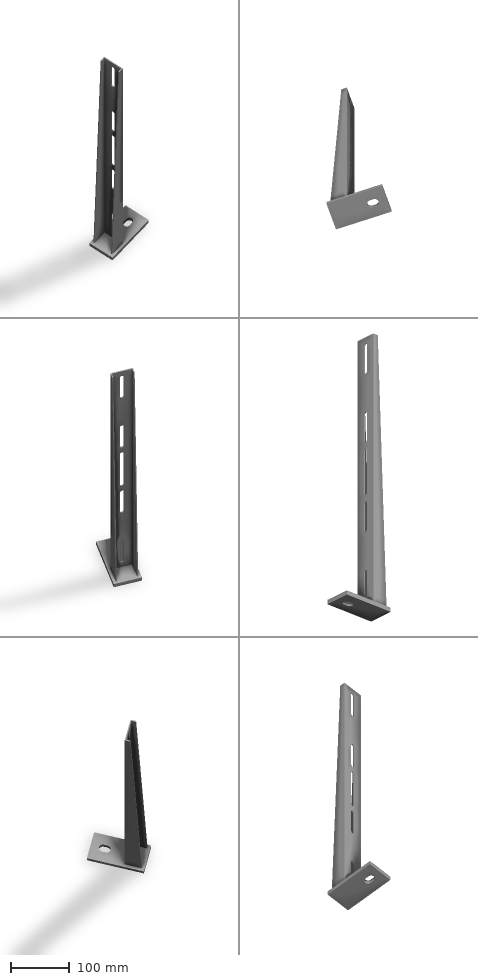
import cadquery as cq

plate_width = 50.0
plate_length = 100.0
plate_thickness = 8.0

fixing_hole_width = 13.0
fixing_hole_length = 20.0
fixing_hole_to_rear_edge = 25.0

total_height = 518.0
upright_height = total_height - plate_thickness
upright_width = 40.0
upright_wall = 2.0
flange_depth_bottom = 30.0
flange_depth_top = 10.0
upright_to_plate_front = 5.0

slot_width = 7.0
short_slot_length = 57.0
middle_slot_length = 87.0
inner_slot_offset = 85.0
outer_slot_offset = 214.5

web_rear_y = -plate_length / 2 + upright_to_plate_front + flange_depth_bottom
web_front_y = web_rear_y - upright_wall
fixing_hole_y = plate_length / 2 - fixing_hole_to_rear_edge
upright_middle_z = plate_thickness + upright_height / 2


def make_base_plate():
    """Flat plate with one elongated hole running through it."""
    plate = cq.Workplane("XY").box(
        plate_width, plate_length, plate_thickness, centered=(True, True, False)
    )
    hole = (
        cq.Workplane("XY")
        .center(0, fixing_hole_y)
        .slot2D(fixing_hole_length, fixing_hole_width, 90)
        .extrude(plate_thickness)
    )
    return plate.cut(hole)


def make_tapered_block():
    """Solid envelope of the upright: vertical at the rear, sloping at the front."""
    return (
        cq.Workplane("YZ")
        .moveTo(web_rear_y, plate_thickness)
        .lineTo(web_rear_y - flange_depth_bottom, plate_thickness)
        .lineTo(web_rear_y - flange_depth_top, total_height)
        .lineTo(web_rear_y, total_height)
        .close()
        .extrude(upright_width / 2, both=True)
    )


def make_channel_space():
    """Space between the flanges, in front of the web."""
    return (
        cq.Workplane("XY", origin=(0, web_front_y, plate_thickness))
        .box(
            upright_width - 2 * upright_wall,
            2 * flange_depth_bottom,
            upright_height,
            centered=(True, True, False),
        )
        .translate((0, -flange_depth_bottom, 0))
    )


def make_web_slot(length, offset):
    """Cutter for a vertical slot, offset along Z from the middle of the upright."""
    return (
        cq.Workplane("XZ", origin=(0, web_rear_y, upright_middle_z + offset))
        .slot2D(length, slot_width, 90)
        .extrude(upright_wall)
    )


def make_upright():
    """Tapered U-channel with five slots in its web."""
    upright = make_tapered_block().cut(make_channel_space())
    upright = upright.cut(make_web_slot(middle_slot_length, 0))
    for offset in (inner_slot_offset, outer_slot_offset):
        for side in (-1, 1):
            upright = upright.cut(make_web_slot(short_slot_length, side * offset))
    return upright


base_plate = make_base_plate()
upright = make_upright()

result = cq.Compound.makeCompound([base_plate.val(), upright.val()])